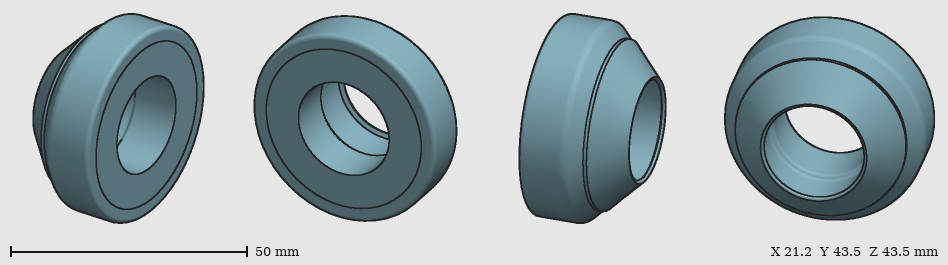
import cadquery as cq
import math

length = 21.23
outer_radius = 21.75

core_radius = 18.5
cone_end = 7.0
tip_radius = core_radius - cone_end
lip_round = 0.6

bore_radius = 21.6 / 2
chamber_radius = 23.6 / 2
neck_start = 9.53
neck_arc_radius = 1.0
chamber_start = lip_round + (chamber_radius - bore_radius) / 2

collar_start = 7.8
shoulder_end = collar_start + outer_radius - core_radius
rear_round = 1.0
shoulder_round = 2 * rear_round

pick_margin = 0.05


def revolve_about_x(outline):
    """Turn a closed outline of (x, radius) points into a ring about the X axis."""
    return outline.close().revolve(360, (0, 0, 0), (1, 0, 0))


def round_edge(body, x, radius, fillet_radius):
    """Fillet the circular edge of the given radius that lies at x."""
    reach = radius + pick_margin
    slab = cq.selectors.BoxSelector(
        (x - pick_margin, -reach, -reach), (x + pick_margin, reach, reach), boundingbox=True
    )
    nearby = body.edges(slab).edges("%CIRCLE").vals()
    rim = [edge for edge in nearby if abs(edge.radius() - radius) < pick_margin]
    return body.newObject(rim).fillet(fillet_radius)


def make_core():
    half_step = (chamber_radius - bore_radius) / 2
    arc_angle = math.acos(1 - half_step / neck_arc_radius)
    half_length = neck_arc_radius * math.sin(arc_angle)
    neck_middle = (neck_start + half_length, chamber_radius - half_step)
    neck_end = (neck_start + 2 * half_length, bore_radius)

    diagonal = lip_round * math.sqrt(0.5)
    lip_middle = (lip_round - diagonal, bore_radius + lip_round - diagonal)

    outline = (
        cq.Workplane("XY")
        .moveTo(0, bore_radius + lip_round)
        .threePointArc(lip_middle, (lip_round, bore_radius))
        .lineTo(chamber_start, chamber_radius)
        .lineTo(neck_start, chamber_radius)
        .tangentArcPoint(neck_middle, relative=False)
        .tangentArcPoint(neck_end, relative=False)
        .lineTo(length, bore_radius)
        .lineTo(length, core_radius)
        .lineTo(cone_end, core_radius)
        .lineTo(0, tip_radius)
    )
    return revolve_about_x(outline)


def make_collar():
    outline = cq.Workplane("XY").polyline([
        (collar_start, core_radius),
        (shoulder_end, outer_radius),
        (length, outer_radius),
        (length, core_radius),
    ])
    collar = revolve_about_x(outline)
    collar = round_edge(collar, shoulder_end, outer_radius, shoulder_round)
    return round_edge(collar, length, outer_radius, rear_round)


core = make_core()
collar = make_collar()

result = cq.Compound.makeCompound([core.val(), collar.val()])